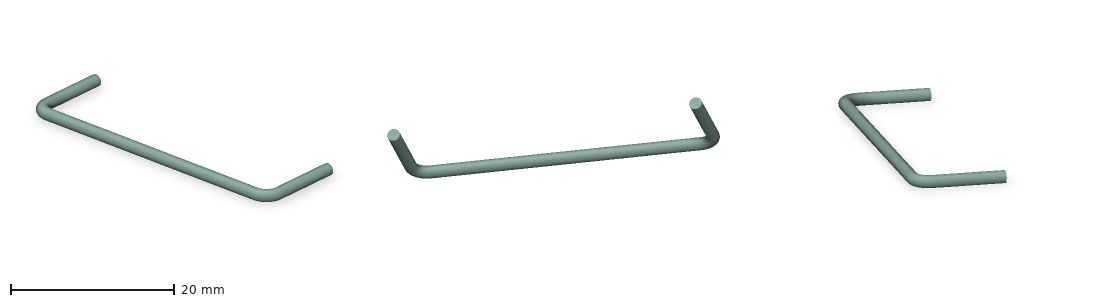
import cadquery as cq
import math

wire_diameter = 1.6
overall_width = 39.7
overall_depth = 12.0
bend_radius = 2.0

wire_radius = wire_diameter / 2
leg_x = (overall_width - wire_diameter) / 2
leg_tip_y = overall_depth - wire_radius
bar_end_x = leg_x - bend_radius
bend_mid_offset = bend_radius * (1 - math.cos(math.radians(45)))


def wire_centreline():
    """U-shaped path: left leg, bend, crossbar, bend, right leg."""
    bend_mid_x = leg_x - bend_mid_offset
    return (
        cq.Workplane("XY")
        .moveTo(-leg_x, leg_tip_y)
        .lineTo(-leg_x, bend_radius)
        .threePointArc((-bend_mid_x, bend_mid_offset), (-bar_end_x, 0))
        .lineTo(bar_end_x, 0)
        .threePointArc((bend_mid_x, bend_mid_offset), (leg_x, bend_radius))
        .lineTo(leg_x, leg_tip_y)
    )


def wire_section():
    """Round wire section at the tip of the left leg."""
    return (
        cq.Workplane("XZ", origin=(-leg_x, leg_tip_y, 0))
        .circle(wire_radius)
    )


result = wire_section().sweep(wire_centreline())